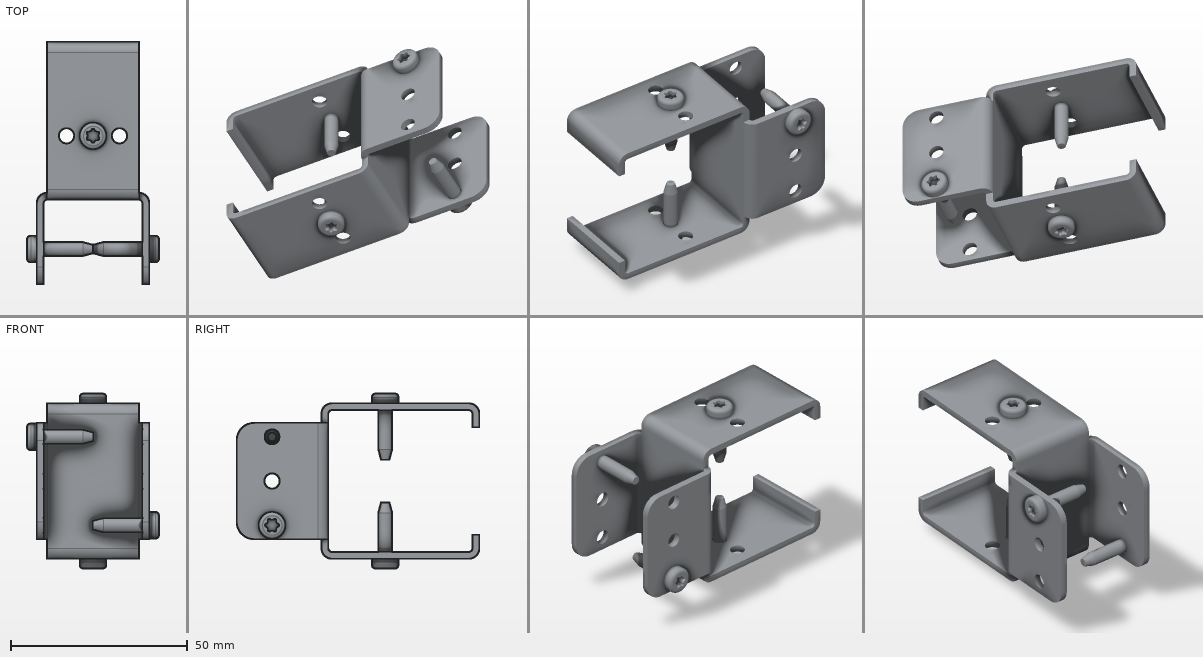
import cadquery as cq
import math

sheet = 2.0
bend_inner = 1.0
bend_outer = bend_inner + sheet

channel_width = 26.05
channel_depth = 44.7
channel_height = 44.05
lip_height = 6.9

overall_depth = 68.7
ear_reach = overall_depth - channel_depth
ear_span = 31.9
ear_height = 33.0
ear_corner = 5.0

hole_dia = 4.25
channel_hole_setback = 26.65
channel_hole_y = channel_depth - channel_hole_setback
channel_hole_pitch = 7.5
ear_hole_setback = 10.0
ear_hole_y = ear_hole_setback - ear_reach
ear_hole_pitch = 12.5

head_dia = 7.55
head_height = 2.75
head_round = 1.0
shank_dia = 4.0
shank_length = 16.0
point_length = 2.95
point_dia = 2.4
recess_tip_radius = 2.0
recess_valley_radius = 1.5
recess_flank_radius = 1.7
recess_flank_angle = 14.0
recess_depth = 2.05
lobe_count = 6


def make_rounded_bar(depth, height, corner_radius):
    """Bar along X as wide as the channel, centred in it, with its long edges rounded."""
    return (
        cq.Workplane("XY", origin=(0, channel_depth / 2, 0))
        .box(channel_width, depth, height)
        .edges("|X")
        .fillet(corner_radius)
    )


def make_channel():
    """C-shaped strap with an inward lip on each arm."""
    solid = make_rounded_bar(channel_depth, channel_height, bend_outer)
    hollow = make_rounded_bar(channel_depth - 2 * sheet, channel_height - 2 * sheet, bend_inner)
    opening_height = channel_height - 2 * lip_height
    opening = cq.Workplane("XY", origin=(0, channel_depth, 0)).box(channel_width, 2 * sheet, opening_height)
    return solid.cut(hollow).cut(opening)


def make_ears():
    """U-shaped bracket sharing the channel web, with rounded ear corners."""
    depth = ear_reach + sheet
    outer = (
        cq.Workplane("XY")
        .center(0, sheet - depth / 2)
        .rect(ear_span, depth)
        .extrude(ear_height / 2, both=True)
        .edges("|Z and >Y")
        .fillet(bend_outer)
        .edges("|X and <Y")
        .fillet(ear_corner)
    )
    inner = (
        cq.Workplane("XY")
        .center(0, -ear_reach / 2)
        .rect(ear_span - 2 * sheet, ear_reach)
        .extrude(ear_height / 2, both=True)
        .edges("|Z and >Y")
        .fillet(bend_inner)
    )
    return outer.cut(inner)


def make_holes():
    """Three holes through both channel arms and three through both ears."""
    steps = (-1, 0, 1)
    through_channel = (
        cq.Workplane("XY")
        .pushPoints([(step * channel_hole_pitch, channel_hole_y) for step in steps])
        .circle(hole_dia / 2)
        .extrude(channel_height, both=True)
    )
    through_ears = (
        cq.Workplane("YZ")
        .pushPoints([(ear_hole_y, step * ear_hole_pitch) for step in steps])
        .circle(hole_dia / 2)
        .extrude(ear_span, both=True)
    )
    return through_channel.union(through_ears)


def polar(radius, degrees):
    """Point at a radius and an angle about the screw axis."""
    angle = math.radians(degrees)
    return (radius * math.cos(angle), radius * math.sin(angle))


def make_recess():
    """Six-lobe driver recess sunk from the head face, one lobe along +Y."""
    pitch = 360 / lobe_count
    first_tip = 90
    outline = cq.Workplane("XY", origin=(0, 0, head_height))
    outline = outline.moveTo(*polar(recess_flank_radius, first_tip - recess_flank_angle))
    for lobe in range(lobe_count):
        tip = first_tip + lobe * pitch
        outline = outline.threePointArc(
            polar(recess_tip_radius, tip),
            polar(recess_flank_radius, tip + recess_flank_angle),
        )
        outline = outline.threePointArc(
            polar(recess_valley_radius, tip + pitch / 2),
            polar(recess_flank_radius, tip + pitch - recess_flank_angle),
        )
    return outline.close().extrude(-recess_depth)


def make_screw():
    """Screw along Z with its head seated on the plane Z = 0, pointing down."""
    head = (
        cq.Workplane("XY")
        .circle(head_dia / 2)
        .extrude(head_height)
        .faces(">Z")
        .edges()
        .fillet(head_round)
    )
    shank = (
        cq.Workplane("XZ")
        .polyline([
            (0, 0),
            (shank_dia / 2, 0),
            (shank_dia / 2, point_length - shank_length),
            (point_dia / 2, -shank_length),
            (0, -shank_length),
        ])
        .close()
        .revolve(360, (0, 0, 0), (0, 1, 0))
    )
    return head.union(shank).cut(make_recess())


def turn_about_y(body, degrees):
    """Copy of a body turned about the Y axis, which runs through the middle of the web."""
    return body.rotate((0, 0, 0), (0, 1, 0), degrees)


screw = make_screw()
channel_screw = screw.translate((0, channel_hole_y, channel_height / 2))
ear_screw = turn_about_y(screw, -90).translate((-ear_span / 2, ear_hole_y, ear_hole_pitch))

result = make_channel().union(make_ears()).cut(make_holes())
for placed_screw in (channel_screw, ear_screw):
    result = result.union(placed_screw)
    result = result.union(turn_about_y(placed_screw, 180))